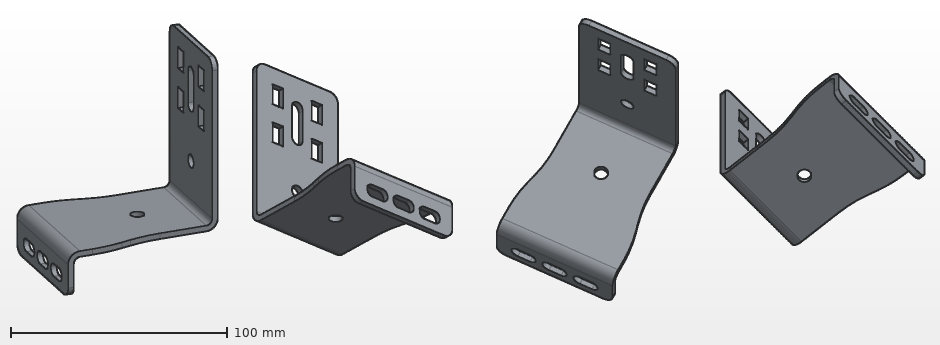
import cadquery as cq

lip_width = 60.0
plate_width = 50.0
depth = 77.5
height = 104.8
thickness = 2.9
bend_outer_radius = 5.9
bend_inner_radius = bend_outer_radius - thickness
corner_radius = 5.0
shelf_top = 22.5
shelf_bottom = shelf_top - thickness

taper_front_y = 20.0
taper_back_y = 40.3
taper_blend_radius = 65.0

hole_diameter = 6.5
shelf_hole_y = 47.7
plate_hole_z = 44.8
plate_slot_z = 80.8
plate_slot_length = 22.4
window_width = 6.3
window_height = 10.5
window_pitch_x = 23.9
window_pitch_z = 20.0
lip_slot_length = 12.6
lip_slot_height = 6.3
lip_slot_pitch = 16.0
lip_slot_z = 7.5


def bent_strip():
    """Z-shaped sheet profile, bent at both ends of the shelf, at full lip width."""
    profile = (
        cq.Workplane("YZ")
        .moveTo(0, 0)
        .lineTo(0, shelf_top)
        .lineTo(depth - thickness, shelf_top)
        .lineTo(depth - thickness, height)
        .lineTo(depth, height)
        .lineTo(depth, shelf_bottom)
        .lineTo(thickness, shelf_bottom)
        .lineTo(thickness, 0)
        .close()
        .extrude(lip_width / 2, both=True)
    )

    def bend_edge(y, z):
        return cq.selectors.NearestToPointSelector((0, y, z))

    for y, z in [(0, shelf_top), (depth, shelf_bottom)]:
        profile = profile.edges(bend_edge(y, z)).fillet(bend_outer_radius)
    for y, z in [(thickness, shelf_bottom), (depth - thickness, shelf_top)]:
        profile = profile.edges(bend_edge(y, z)).fillet(bend_inner_radius)
    return profile


def plan_outline():
    """Prism with the plan shape: wide lip blending smoothly into the narrower plate."""
    wide = lip_width / 2
    narrow = plate_width / 2
    prism = (
        cq.Workplane("XY")
        .polyline([
            (-wide, 0), (wide, 0), (wide, taper_front_y), (narrow, taper_back_y),
            (narrow, depth), (-narrow, depth), (-narrow, taper_back_y), (-wide, taper_front_y),
        ])
        .close()
        .extrude(height)
    )
    taper_edges = prism.edges("|Z").edges("(not <Y) and (not >Y)")
    return taper_edges.fillet(taper_blend_radius)


def wall_cutter(sketch, y):
    """Extrude an XZ sketch backwards through the wall whose front face is at y."""
    return sketch.extrude(-thickness).translate((0, y, 0))


bracket = bent_strip().intersect(plan_outline())

bracket = bracket.faces(">Z").edges("|Y").fillet(corner_radius)
bracket = bracket.faces("<Z").edges("|Y").fillet(corner_radius)

plate_front_y = depth - thickness
plate_hole = cq.Workplane("XZ").center(0, plate_hole_z).circle(hole_diameter / 2)
plate_slot = cq.Workplane("XZ").center(0, plate_slot_z).slot2D(plate_slot_length, hole_diameter, 90)
windows = (
    cq.Workplane("XZ")
    .center(0, plate_slot_z)
    .rarray(window_pitch_x, window_pitch_z, 2, 2)
    .rect(window_width, window_height)
)
for opening in (plate_hole, plate_slot, windows):
    bracket = bracket.cut(wall_cutter(opening, plate_front_y))

lip_slots = (
    cq.Workplane("XZ")
    .center(0, lip_slot_z)
    .rarray(lip_slot_pitch, 1, 3, 1)
    .slot2D(lip_slot_length, lip_slot_height)
)
bracket = bracket.cut(wall_cutter(lip_slots, 0))

shelf_hole = (
    cq.Workplane("XY", origin=(0, shelf_hole_y, shelf_bottom))
    .circle(hole_diameter / 2)
    .extrude(thickness)
)
result = bracket.cut(shelf_hole)